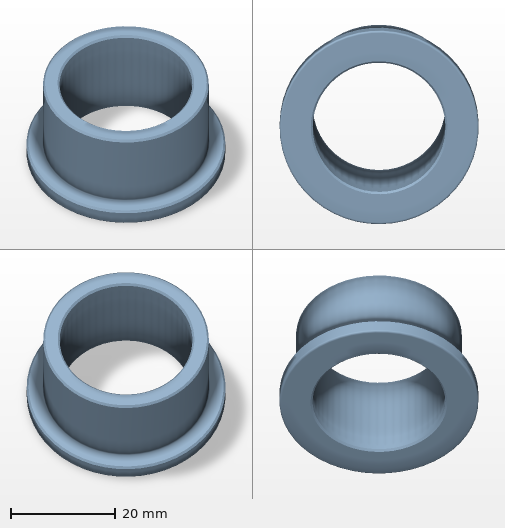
import cadquery as cq

flange_diameter = 38.1
sleeve_diameter = 31.75
bore_diameter = 25.4
total_height = 19.05
flange_thickness = 3.15
edge_chamfer = 0.4
base_fillet = 0.4
corner_fillet = 0.23

flange_radius = flange_diameter / 2
sleeve_radius = sleeve_diameter / 2
bore_radius = bore_diameter / 2
base_z = -total_height / 2
top_z = base_z + total_height
flange_top_z = base_z + flange_thickness

half_section = (
    cq.Workplane("XZ")
    .moveTo(bore_radius + edge_chamfer, base_z)
    .lineTo(flange_radius - base_fillet, base_z)
    .radiusArc((flange_radius, base_z + base_fillet), -base_fillet)
    .lineTo(flange_radius, flange_top_z - edge_chamfer)
    .lineTo(flange_radius - edge_chamfer, flange_top_z)
    .lineTo(sleeve_radius + corner_fillet, flange_top_z)
    .radiusArc((sleeve_radius, flange_top_z + corner_fillet), corner_fillet)
    .lineTo(sleeve_radius, top_z - edge_chamfer)
    .lineTo(sleeve_radius - edge_chamfer, top_z)
    .lineTo(bore_radius + edge_chamfer, top_z)
    .lineTo(bore_radius, top_z - edge_chamfer)
    .lineTo(bore_radius, base_z + edge_chamfer)
    .close()
)

result = half_section.revolve(360, (0, 0, 0), (0, 1, 0))